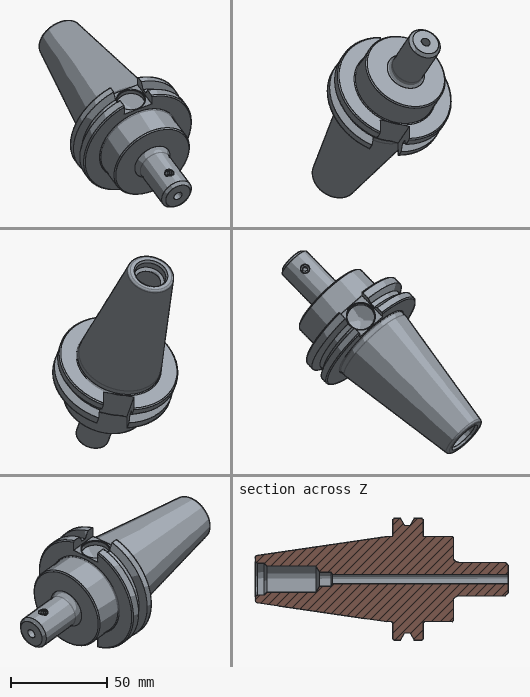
import cadquery as cq
import math

OVERALL_LENGTH = 131.8

TAPER_RATE = 7 / 24
TAPER_LENGTH = 68.4
GAUGE_RADIUS = 44.4 / 2
TAPER_SMALL_RADIUS = GAUGE_RADIUS - TAPER_LENGTH * TAPER_RATE / 2
TAPER_END_FILLET = 1.3

FLANGE_START = 71.5
FLANGE_WIDTH = 16.0
FLANGE_END = FLANGE_START + FLANGE_WIDTH
FLANGE_CENTER = FLANGE_START + FLANGE_WIDTH / 2
FLANGE_RADIUS = 31.8
FLANGE_CHAMFER = 0.7
FLANGE_ROOT_FILLET = 0.5
GROOVE_RADIUS = 28.0
GROOVE_FLOOR_WIDTH = 2.8
GROOVE_WALL_ANGLE = 30.0
GROOVE_CENTER = 79.2

SLOT_WIDTH = 16.2
UPPER_SLOT_FLOOR = 24.8
LOWER_SLOT_FLOOR = 22.4
DIMPLE_RADIUS = 14.4 / 2
DIMPLE_WALL_DEPTH = 2.8
DIMPLE_CHAMFER = 0.4
DRILL_POINT_ANGLE = 118.0

HUB_END = 103.3
HUB_CHAMFER = 0.7
NOSE_RADIUS = 17.5 / 2
NOSE_ROOT_LENGTH = 3.2
NOSE_ROOT_ARC_RADIUS = 4.0
NOSE_CHAMFER = 1.6

MOUTH_RADIUS = 18.0 / 2
MOUTH_DEPTH = 1.3
COUNTERBORE_RADIUS = 16.5 / 2
COUNTERBORE_DEPTH = 4.7
DRAWBAR_BORE_RADIUS = 13.5 / 2
DRAWBAR_BORE_DEPTH = 31.6
PILOT_RADIUS = 7.1 / 2
PILOT_DEPTH = 39.5
COOLANT_RADIUS = 4.7 / 2

SCREW_X = 122.1
SCREW_RADIUS = 4.9 / 2
SCREW_TOP = 8.2
SCREW_TIP = 2.9
SCREW_CHAMFER = 0.3
SOCKET_CORNER_DIAMETER = 2.9
SOCKET_DEPTH = 2.0


def drill_point_length(large_radius, small_radius=0.0):
    """Axial length of a drill-point cone between two radii."""
    return (large_radius - small_radius) / math.tan(math.radians(DRILL_POINT_ANGLE / 2))


def make_turned_blank():
    """Taper, flange seat, hub and nose as one revolved profile."""
    arc_center_radius = NOSE_RADIUS + NOSE_ROOT_ARC_RADIUS
    arc_end_x = HUB_END + NOSE_ROOT_LENGTH
    arc_angle = math.asin(NOSE_ROOT_LENGTH / NOSE_ROOT_ARC_RADIUS)

    def root_arc_point(angle):
        return (
            arc_end_x - NOSE_ROOT_ARC_RADIUS * math.sin(angle),
            arc_center_radius - NOSE_ROOT_ARC_RADIUS * math.cos(angle),
        )

    profile = (
        cq.Workplane("XY")
        .moveTo(0, 0)
        .lineTo(0, TAPER_SMALL_RADIUS)
        .lineTo(TAPER_LENGTH, GAUGE_RADIUS)
        .lineTo(HUB_END - HUB_CHAMFER, GAUGE_RADIUS)
        .lineTo(HUB_END, GAUGE_RADIUS - HUB_CHAMFER)
        .lineTo(*root_arc_point(arc_angle))
        .threePointArc(root_arc_point(arc_angle / 2), root_arc_point(0))
        .lineTo(OVERALL_LENGTH - NOSE_CHAMFER, NOSE_RADIUS)
        .lineTo(OVERALL_LENGTH, NOSE_RADIUS - NOSE_CHAMFER)
        .lineTo(OVERALL_LENGTH, 0)
        .close()
    )
    blank = profile.revolve(360, (0, 0, 0), (1, 0, 0))
    return blank.faces("<X").edges().fillet(TAPER_END_FILLET)


def make_flange():
    """Chamfered flange ring with a V-groove and filleted roots."""
    half_floor = GROOVE_FLOOR_WIDTH / 2
    groove_depth = FLANGE_RADIUS - GROOVE_RADIUS
    half_opening = half_floor + groove_depth * math.tan(math.radians(GROOVE_WALL_ANGLE))
    root_radius = GAUGE_RADIUS + FLANGE_ROOT_FILLET
    shoulder_radius = FLANGE_RADIUS - FLANGE_CHAMFER
    arc_sag = FLANGE_ROOT_FILLET * (1 - math.sqrt(0.5))
    profile = (
        cq.Workplane("XY")
        .moveTo(FLANGE_START - FLANGE_ROOT_FILLET, 0)
        .lineTo(FLANGE_START - FLANGE_ROOT_FILLET, GAUGE_RADIUS)
        .threePointArc((FLANGE_START - arc_sag, GAUGE_RADIUS + arc_sag), (FLANGE_START, root_radius))
        .lineTo(FLANGE_START, shoulder_radius)
        .lineTo(FLANGE_START + FLANGE_CHAMFER, FLANGE_RADIUS)
        .lineTo(GROOVE_CENTER - half_opening, FLANGE_RADIUS)
        .lineTo(GROOVE_CENTER - half_floor, GROOVE_RADIUS)
        .lineTo(GROOVE_CENTER + half_floor, GROOVE_RADIUS)
        .lineTo(GROOVE_CENTER + half_opening, FLANGE_RADIUS)
        .lineTo(FLANGE_END - FLANGE_CHAMFER, FLANGE_RADIUS)
        .lineTo(FLANGE_END, shoulder_radius)
        .lineTo(FLANGE_END, root_radius)
        .threePointArc(
            (FLANGE_END + arc_sag, GAUGE_RADIUS + arc_sag),
            (FLANGE_END + FLANGE_ROOT_FILLET, GAUGE_RADIUS),
        )
        .lineTo(FLANGE_END + FLANGE_ROOT_FILLET, 0)
        .close()
    )
    return profile.revolve(360, (0, 0, 0), (1, 0, 0))


def make_drive_slot(floor_height, side):
    """Cutter for one drive slot; side is +1 above the axis, -1 below it."""
    depth = FLANGE_RADIUS - floor_height
    center_height = side * (floor_height + depth / 2)
    return cq.Workplane("XY").box(FLANGE_WIDTH, SLOT_WIDTH, depth).translate((FLANGE_CENTER, 0, center_height))


def make_dimple():
    """Cutter for the drilled dimple in the upper slot floor."""
    wall_bottom = UPPER_SLOT_FLOOR - DIMPLE_WALL_DEPTH
    profile = (
        cq.Workplane("XZ")
        .moveTo(0, UPPER_SLOT_FLOOR)
        .lineTo(DIMPLE_RADIUS + DIMPLE_CHAMFER, UPPER_SLOT_FLOOR)
        .lineTo(DIMPLE_RADIUS, UPPER_SLOT_FLOOR - DIMPLE_CHAMFER)
        .lineTo(DIMPLE_RADIUS, wall_bottom)
        .lineTo(0, wall_bottom - drill_point_length(DIMPLE_RADIUS))
        .close()
    )
    dimple = profile.revolve(360, (0, 0, 0), (0, 1, 0))
    return dimple.translate((FLANGE_CENTER, 0, 0))


def make_bore():
    """Cutter for the stepped bore through the whole holder."""
    counterbore_cone = COUNTERBORE_RADIUS - DRAWBAR_BORE_RADIUS
    drawbar_cone = drill_point_length(DRAWBAR_BORE_RADIUS, PILOT_RADIUS)
    pilot_cone = drill_point_length(PILOT_RADIUS, COOLANT_RADIUS)
    profile = (
        cq.Workplane("XY")
        .moveTo(0, 0)
        .lineTo(0, MOUTH_RADIUS)
        .lineTo(MOUTH_DEPTH, COUNTERBORE_RADIUS)
        .lineTo(COUNTERBORE_DEPTH, COUNTERBORE_RADIUS)
        .lineTo(COUNTERBORE_DEPTH + counterbore_cone, DRAWBAR_BORE_RADIUS)
        .lineTo(DRAWBAR_BORE_DEPTH, DRAWBAR_BORE_RADIUS)
        .lineTo(DRAWBAR_BORE_DEPTH + drawbar_cone, PILOT_RADIUS)
        .lineTo(PILOT_DEPTH, PILOT_RADIUS)
        .lineTo(PILOT_DEPTH + pilot_cone, COOLANT_RADIUS)
        .lineTo(OVERALL_LENGTH, COOLANT_RADIUS)
        .lineTo(OVERALL_LENGTH, 0)
        .close()
    )
    return profile.revolve(360, (0, 0, 0), (1, 0, 0))


def make_screw_hole():
    """Cutter for the radial hole from the top of the nose into the bore."""
    return cq.Workplane("XY").center(SCREW_X, 0).circle(SCREW_RADIUS).extrude(NOSE_RADIUS)


def make_holder():
    holder = make_turned_blank().union(make_flange())
    holder = holder.cut(make_drive_slot(UPPER_SLOT_FLOOR, 1))
    holder = holder.cut(make_drive_slot(LOWER_SLOT_FLOOR, -1))
    holder = holder.cut(make_dimple())
    holder = holder.cut(make_bore())
    return holder.cut(make_screw_hole())


def make_set_screw():
    """Headless screw with a hexagon socket, corners pointing along Y."""
    shank = (
        cq.Workplane("XY", origin=(SCREW_X, 0, SCREW_TIP))
        .circle(SCREW_RADIUS)
        .extrude(SCREW_TOP - SCREW_TIP)
        .faces(">Z")
        .chamfer(SCREW_CHAMFER)
    )
    socket = (
        cq.Workplane("XY", origin=(SCREW_X, 0, SCREW_TOP))
        .transformed(rotate=(0, 0, 90))
        .polygon(6, SOCKET_CORNER_DIAMETER)
        .extrude(-SOCKET_DEPTH)
    )
    return shank.cut(socket)


holder = make_holder()
set_screw = make_set_screw()

result = cq.Compound.makeCompound([holder.solids().val(), set_screw.val()])